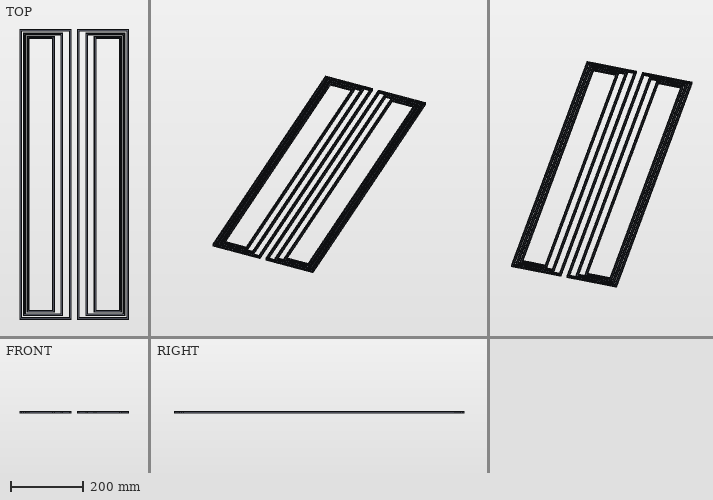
import cadquery as cq

total_width = 300.0
total_length = 800.0
bar_size = 5.0

frames_per_set = 3
set_gap = 18.0
outer_step = 2 * bar_size
inboard_step = 23.0


def make_frame(level, side):
    """Rectangular frame; level 0 is outermost, side is -1 for left and +1 for right."""
    outboard_x = total_width / 2 - level * outer_step
    inboard_x = set_gap / 2 + level * inboard_step
    width = outboard_x - inboard_x
    length = total_length - 2 * level * outer_step
    center_x = side * (outboard_x + inboard_x) / 2
    return (
        cq.Workplane("XY")
        .center(center_x, 0)
        .rect(width, length)
        .rect(width - 2 * bar_size, length - 2 * bar_size)
        .extrude(bar_size)
    )


frames = []
for side in (-1, 1):
    for level in range(frames_per_set):
        frames.append(make_frame(level, side).val())

result = cq.Compound.makeCompound(frames)